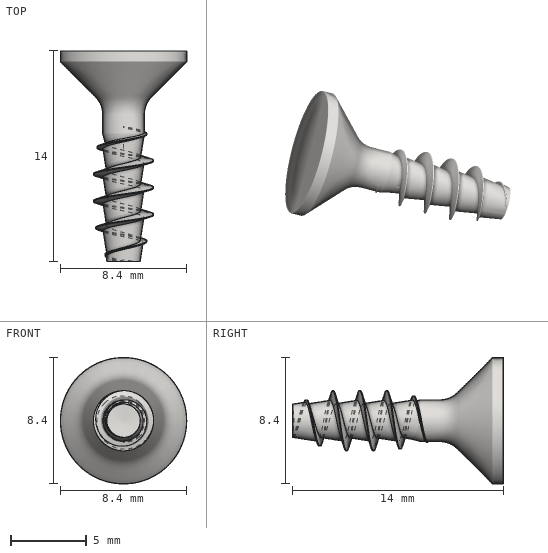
import cadquery as cq
import math

length = 14.0
head_radius = 4.2
rim_height = 0.72
rim_rounding = 0.04
neck_radius = 1.39
neck_end = 5.5
neck_fillet = 1.6
head_half_angle = math.radians(45)

core_radius = 1.1
core_start = 6.6
taper = math.tan(math.radians(9))
dimple_radius = 1.02
dimple_depth = 0.1

tip_excess = 0.5

pitch = 1.79
thread_start = 5.06
thread_radius = 2.0
start_radius = 1.43
end_radius = 1.08
full_turn = 1.25
fade_turn = 3.5
last_turn = 5.0
crest_width = 0.06
flank = math.tan(math.radians(15))
buried_radius = 0.9

flare_offset = 0.08
flare_length = 1.75
flare_radius = 1.375
flare_buried_radius = 0.55
tip_cone_turn = 4.0
flare_end_radius = flare_radius - taper * pitch * (last_turn - tip_cone_turn)

points_per_turn = 24


def make_body():
    """Revolve the head, filleted neck and plain core about Y, then round the head's rim."""
    fillet_drop = neck_fillet * (1 - math.cos(head_half_angle))
    cone_radius = neck_radius + fillet_drop
    cone_end = rim_height + (head_radius - cone_radius) / math.tan(head_half_angle)
    fillet_end = cone_end + neck_fillet * math.sin(head_half_angle)
    mid_angle = head_half_angle / 2
    fillet_mid_radius = neck_radius + neck_fillet * (1 - math.cos(mid_angle))
    fillet_mid = fillet_end - neck_fillet * math.sin(mid_angle)
    return (
        cq.Workplane("XY")
        .lineTo(head_radius, 0)
        .lineTo(head_radius, -rim_height)
        .lineTo(cone_radius, -cone_end)
        .threePointArc((fillet_mid_radius, -fillet_mid), (neck_radius, -fillet_end))
        .lineTo(neck_radius, -neck_end)
        .lineTo(core_radius, -core_start)
        .lineTo(core_radius, -length - tip_excess)
        .lineTo(0, -length - tip_excess)
        .close()
        .revolve(360, (0, 0, 0), (0, 1, 0))
        .edges(cq.selectors.RadiusNthSelector(-1))
        .fillet(rim_rounding)
    )


def spiral_edge(first, last, start, end):
    """Right-handed spiral whose (radius, depth offset) changes evenly from start to end."""
    count = math.ceil((last - first) * points_per_turn)
    points = []
    for i in range(count + 1):
        share = i / count
        turn = first + (last - first) * share
        radius = start[0] + (end[0] - start[0]) * share
        offset = start[1] + (end[1] - start[1]) * share
        angle = 2 * math.pi * turn
        depth = thread_start + pitch * turn + offset
        points.append(cq.Vector(radius * math.sin(angle), -depth, -radius * math.cos(angle)))
    return cq.Edge.makeSpline(points)


def spiral_solid(first, last, start_profile, end_profile):
    """Solid that winds from one profile to another, between two turn counts."""
    edges = [spiral_edge(first, last, a, b) for a, b in zip(start_profile, end_profile)]
    neighbours = edges[1:] + edges[:1]
    faces = [cq.Face.makeRuledSurface(a, b) for a, b in zip(edges, neighbours)]
    for place in (0, 1):
        corners = [edge.positionAt(place) for edge in edges]
        faces.append(cq.Face.makeFromWires(cq.Wire.makePolygon(corners, close=True)))
    solid = cq.Solid.makeSolid(cq.Shell.makeShell(faces))
    return cq.Workplane(solid.fix())


def tooth_profile(crest_radius):
    """Flat-crested tooth with its root buried in the core, as (radius, depth offset)."""
    half_crest = crest_width / 2
    half_root = half_crest + (crest_radius - buried_radius) * flank
    return [
        (buried_radius, -half_root),
        (crest_radius, -half_crest),
        (crest_radius, half_crest),
        (buried_radius, half_root),
    ]


def flare_profile(radius):
    """Wedge that tapers toward the tip, with its inner side buried in the core."""
    flare_end = flare_offset + flare_length
    return [
        (flare_buried_radius, flare_offset),
        (radius, flare_offset),
        (radius - taper * flare_length, flare_end),
        (flare_buried_radius, flare_end),
    ]


def make_thread():
    """Thread rising out of the neck, at full height, then fading into the tip."""
    rising = tooth_profile(start_radius)
    full = tooth_profile(thread_radius)
    fading = tooth_profile(end_radius)
    return [
        spiral_solid(0, full_turn, rising, full),
        spiral_solid(full_turn, fade_turn, full, full),
        spiral_solid(fade_turn, last_turn, full, fading),
    ]


def make_flare():
    """Flare at constant size, then a last turn that stays on a single tip cone."""
    full = flare_profile(flare_radius)
    tip = flare_profile(flare_end_radius)
    return [
        spiral_solid(0, tip_cone_turn, full, full),
        spiral_solid(tip_cone_turn, last_turn, full, tip),
    ]


def make_tip_cutter():
    """Space past the tip plane, plus the shallow conical dimple in the tip."""
    trim_depth = 2 * pitch
    return (
        cq.Workplane("XY")
        .moveTo(0, dimple_depth - length)
        .lineTo(dimple_radius, -length)
        .lineTo(head_radius, -length)
        .lineTo(head_radius, -length - trim_depth)
        .lineTo(0, -length - trim_depth)
        .close()
        .revolve(360, (0, 0, 0), (0, 1, 0))
    )


def join(pieces):
    """Fuse the pieces one after another, keeping the spiral faces as built."""
    joined = pieces[0]
    for piece in pieces[1:]:
        joined = joined.union(piece, clean=False)
    return joined


winding = join(make_thread() + make_flare())
result = join([make_body(), winding]).cut(make_tip_cutter(), clean=False)